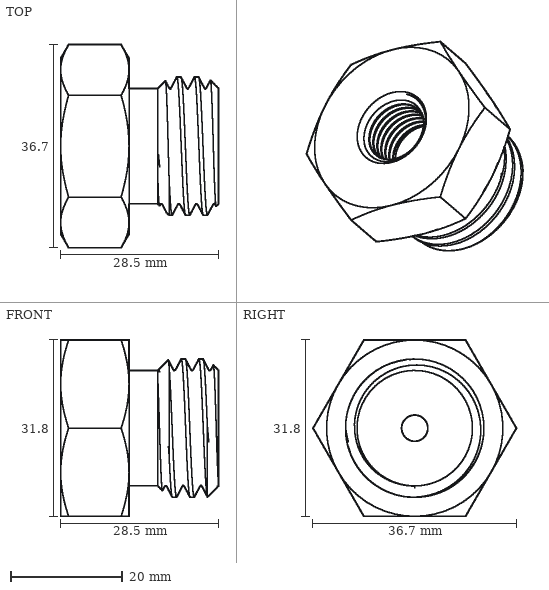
import cadquery as cq
import math

TOTAL_LENGTH = 28.45
HEX_LENGTH = 12.3
HEX_ACROSS_FLATS = 31.75
HEX_CHAMFER_ANGLE = 30.0
NECK_RADIUS = 10.4
THROUGH_HOLE_RADIUS = 2.34

MALE_LENGTH = 11.0
MALE_RADIUS = 12.46
MALE_PITCH = 25.4 / 8
MALE_FLANK_ANGLE = 55.0
MALE_ROOT_ROUND = 0.25
MALE_ROOT_RADIUS = NECK_RADIUS + 0.02
MALE_GROOVE_START = 15.72
MALE_GROOVE_TURNS = 4

FEMALE_PITCH = 25.4 / 18
FEMALE_PITCH_RADIUS = 12.487 / 2
FEMALE_TAPER = 1 / 32
FEMALE_FLANK_ANGLE = 60.0
FEMALE_DEPTH = 11.0
FEMALE_CREST_CUT = 0.03
FEMALE_TURN_GAP = 0.02
FEMALE_GROOVE_TURNS = 9
FEMALE_GROOVE_START = -1.94
DRILL_POINT_ANGLE = 118.0
MOUTH_RADIUS = 7.12

CLEARANCE = 0.3
STRAIGHT_HELIX = 360.0

MALE_START = TOTAL_LENGTH - MALE_LENGTH


def revolve_about_x(points):
    """Turn a closed (x, radius) outline about the X axis."""
    return cq.Workplane("XY").polyline(points).close().revolve(360, (0, 0, 0), (1, 0, 0))


def helical_groove(profile, radius, pitch, start, turns, cone_angle=STRAIGHT_HELIX):
    """Sweep a (radius, axial) profile along a right-hand helix on X, starting on the -Z side."""
    path = cq.Wire.makeHelix(pitch, pitch * turns, radius, angle=cone_angle)
    groove = profile.sweep(cq.Workplane(obj=path), isFrenet=True)
    return groove.rotate((0, 0, 0), (0, 1, 0), 90).translate((start, 0, 0))


def hexagon_head():
    """Hexagon prism with both ends chamfered down to the across-flats circle."""
    flat_radius = HEX_ACROSS_FLATS / 2
    corner_radius = flat_radius / math.cos(math.radians(30))
    outer_radius = corner_radius + CLEARANCE
    chamfer = (outer_radius - flat_radius) * math.tan(math.radians(HEX_CHAMFER_ANGLE))
    prism = cq.Workplane("YZ").polygon(6, 2 * corner_radius).extrude(HEX_LENGTH)
    envelope = revolve_about_x([
        (0, 0),
        (0, flat_radius),
        (chamfer, outer_radius),
        (HEX_LENGTH - chamfer, outer_radius),
        (HEX_LENGTH, flat_radius),
        (HEX_LENGTH, 0),
    ])
    return prism.intersect(envelope)


def neck():
    """Plain cylinder between the hexagon and the male thread."""
    return cq.Workplane("YZ", origin=(HEX_LENGTH, 0, 0)).circle(NECK_RADIUS).extrude(MALE_START - HEX_LENGTH)


def male_thread():
    """Cylinder with 45 degree ends and a helical V groove with a rounded root."""
    chamfer = MALE_RADIUS - NECK_RADIUS
    blank = revolve_about_x([
        (MALE_START, 0),
        (MALE_START, NECK_RADIUS),
        (MALE_START + chamfer, MALE_RADIUS),
        (TOTAL_LENGTH - chamfer, MALE_RADIUS),
        (TOTAL_LENGTH, NECK_RADIUS),
        (TOTAL_LENGTH, 0),
    ])
    half_angle = math.radians(MALE_FLANK_ANGLE / 2)
    round_centre = MALE_ROOT_RADIUS + MALE_ROOT_ROUND
    tangent_radius = round_centre - MALE_ROOT_ROUND * math.sin(half_angle)
    tangent_half_width = MALE_ROOT_ROUND * math.cos(half_angle)
    outer_radius = MALE_RADIUS + CLEARANCE
    outer_half_width = tangent_half_width + (outer_radius - tangent_radius) * math.tan(half_angle)
    profile = (
        cq.Workplane("XZ")
        .moveTo(outer_radius, -outer_half_width)
        .lineTo(tangent_radius, -tangent_half_width)
        .threePointArc((MALE_ROOT_RADIUS, 0), (tangent_radius, tangent_half_width))
        .lineTo(outer_radius, outer_half_width)
        .close()
    )
    groove = helical_groove(profile, NECK_RADIUS, MALE_PITCH, MALE_GROOVE_START, MALE_GROOVE_TURNS)
    return blank.cut(groove)


def female_v_height():
    """Height of the sharp V of the female thread."""
    return FEMALE_PITCH / 2 / math.tan(math.radians(FEMALE_FLANK_ANGLE / 2))


def bore():
    """Tapered bore with a chamfered mouth, a drill point and the through hole beyond it."""
    crest_radius = FEMALE_PITCH_RADIUS - female_v_height() / 2 + FEMALE_CREST_CUT
    end_radius = crest_radius - FEMALE_DEPTH * FEMALE_TAPER
    point_length = (end_radius - THROUGH_HOLE_RADIUS) / math.tan(math.radians(DRILL_POINT_ANGLE / 2))
    mouth_depth = (MOUTH_RADIUS - crest_radius) / (1 - FEMALE_TAPER)
    return revolve_about_x([
        (0, 0),
        (0, MOUTH_RADIUS),
        (mouth_depth, MOUTH_RADIUS - mouth_depth),
        (FEMALE_DEPTH, end_radius),
        (FEMALE_DEPTH + point_length, THROUGH_HOLE_RADIUS),
        (TOTAL_LENGTH, THROUGH_HOLE_RADIUS),
        (TOTAL_LENGTH, 0),
    ])


def female_groove():
    """Tapered helical V groove; its open side lies just inside the wall of the bore."""
    half_angle = math.radians(FEMALE_FLANK_ANGLE / 2)
    start_pitch_radius = FEMALE_PITCH_RADIUS - FEMALE_GROOVE_START * FEMALE_TAPER
    root_radius = start_pitch_radius + female_v_height() / 2
    half_width = (FEMALE_PITCH - FEMALE_TURN_GAP) / 2
    base_radius = root_radius - half_width / math.tan(half_angle)
    profile = cq.Workplane("XZ").polyline([
        (base_radius, -half_width),
        (root_radius, 0),
        (base_radius, half_width),
    ]).close()
    cone_angle = -math.degrees(math.atan(FEMALE_TAPER))
    return helical_groove(
        profile, base_radius, FEMALE_PITCH, FEMALE_GROOVE_START, FEMALE_GROOVE_TURNS, cone_angle
    )


result = hexagon_head().union(neck()).union(male_thread()).cut(female_groove()).cut(bore())